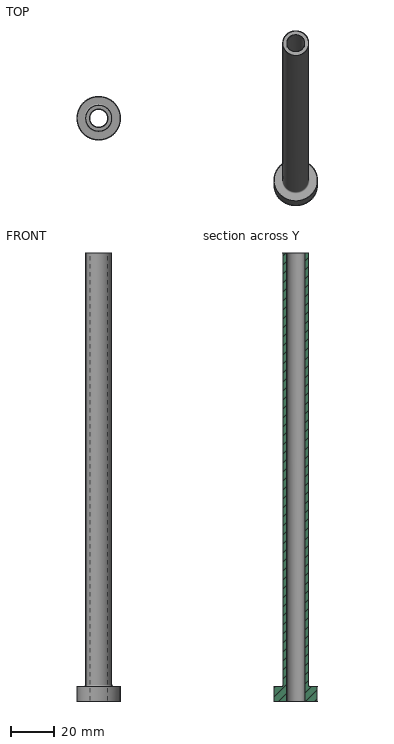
import cadquery as cq

total_length = 207.0
head_diameter = 20.0
head_height = 7.0
tube_diameter = 12.0
bore_diameter = 8.3
root_fillet_radius = 0.6

head = cq.Workplane("XY").circle(head_diameter / 2).extrude(head_height)

shank = cq.Workplane("XY").circle(tube_diameter / 2).extrude(total_length)
body = head.union(shank)

head_top = body.faces("+Z").faces("<Z")
body = head_top.edges(cq.selectors.RadiusNthSelector(0)).fillet(root_fillet_radius)

bore = cq.Workplane("XY").circle(bore_diameter / 2).extrude(total_length)
result = body.cut(bore)